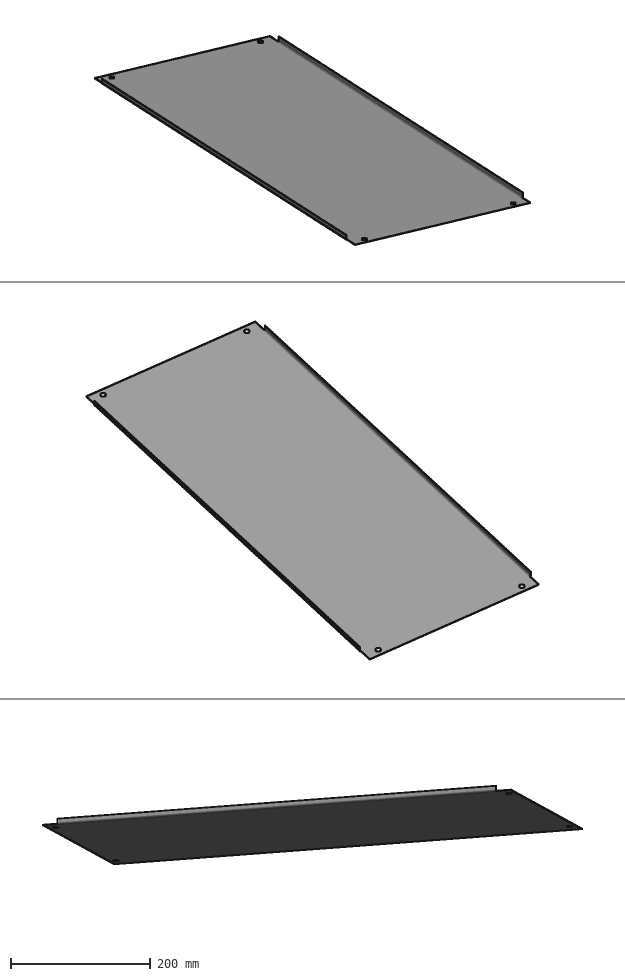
import cadquery as cq

length = 717.0
width = 299.0
height = 8.0
sheet = 1.0
inner_radius = 0.85
outer_radius = inner_radius + sheet
flange_length = 672.5
hole_diameter = 8.0
hole_spacing_x = 695.5
hole_spacing_y = 251.0

sheet_width = width - 2 * outer_radius


def flange(side):
    """Bent-up flange along one long edge; side is +1 or -1 in Y."""
    bend_y = side * sheet_width / 2
    outer_y = side * width / 2
    inner_y = outer_y - side * sheet
    diagonal = 0.5 ** 0.5

    def bend_middle(radius):
        return (bend_y + side * radius * diagonal, outer_radius - radius * diagonal)

    return (
        cq.Workplane("YZ")
        .moveTo(bend_y, 0)
        .threePointArc(bend_middle(outer_radius), (outer_y, outer_radius))
        .lineTo(outer_y, height)
        .lineTo(inner_y, height)
        .lineTo(inner_y, outer_radius)
        .threePointArc(bend_middle(inner_radius), (bend_y, sheet))
        .close()
        .extrude(flange_length / 2, both=True)
    )


panel = cq.Workplane("XY").box(length, sheet_width, sheet, centered=(True, True, False))
mounting_holes = (
    cq.Workplane("XY")
    .rect(hole_spacing_x, hole_spacing_y, forConstruction=True)
    .vertices()
    .circle(hole_diameter / 2)
    .extrude(sheet)
)

result = panel.cut(mounting_holes).union(flange(1)).union(flange(-1))